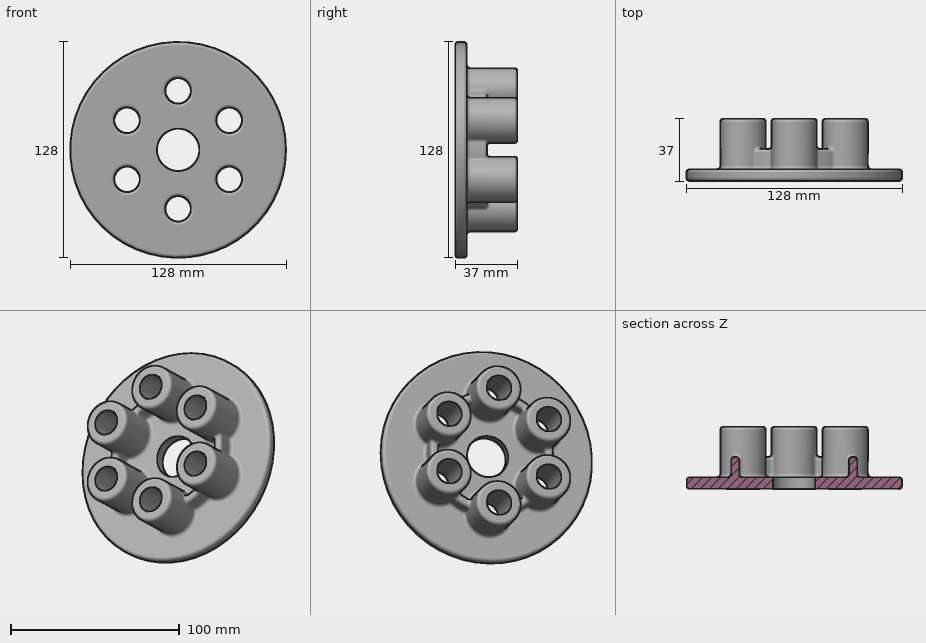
import cadquery as cq

plate_diameter = 128.0
plate_thickness = 7.0
bore_diameter = 25.0

total_depth = 37.0
boss_count = 6
boss_diameter = 27.0
boss_hole_diameter = 15.0
boss_circle_radius = 35.0

wall_height = 12.0
wall_thickness = 5.0

edge_radius = 2.0

tolerance = 0.01

wall_top = plate_thickness + wall_height
boss_angle = 360.0 / boss_count


def cylinder(diameter, start, end):
    """Cylinder on the Y axis between two heights."""
    return cq.Workplane("XZ", origin=(0, start, 0)).circle(diameter / 2).extrude(start - end)


def around_boss_circle(shape):
    """Copies of a shape on the Y axis, moved to every boss position."""
    top = shape.translate((0, 0, boss_circle_radius))
    return [top.rotate((0, 0, 0), (0, 1, 0), index * boss_angle) for index in range(boss_count)]


def make_boss():
    """Solid boss with a rounded free end."""
    boss = cylinder(boss_diameter, plate_thickness, total_depth)
    return boss.faces(">Y").edges().fillet(edge_radius)


def make_boss_hole():
    """Through hole whose mouth on the plate front is rounded."""
    radius = boss_hole_diameter / 2
    profile = (
        cq.Workplane("XY")
        .lineTo(radius + edge_radius, 0)
        .radiusArc((radius, edge_radius), edge_radius)
        .lineTo(radius, total_depth)
        .lineTo(0, total_depth)
        .close()
    )
    return profile.revolve(360, (0, 0, 0), (0, 1, 0))


def make_wall():
    """Circular wall with both edges of its top rounded."""
    outer = cylinder(2 * boss_circle_radius + wall_thickness, plate_thickness, wall_top)
    inner = cylinder(2 * boss_circle_radius - wall_thickness, plate_thickness, wall_top)
    return outer.cut(inner).faces(">Y").edges().fillet(edge_radius)


def is_inside_corner(edge):
    """True for the root edges on the plate and the edges where wall meets boss."""
    center = edge.Center()
    if not plate_thickness - tolerance < center.y < wall_top + tolerance:
        return False
    if edge.geomType() != "CIRCLE":
        return True
    middle = edge.arcCenter()
    on_plate_axis = abs(middle.x) < tolerance and abs(middle.z) < tolerance
    on_plate = center.y < plate_thickness + tolerance
    is_rim = edge.radius() > plate_diameter / 2 - tolerance
    return (on_plate or not on_plate_axis) and not is_rim


body = cylinder(plate_diameter, 0, plate_thickness).union(make_wall())
for boss in around_boss_circle(make_boss()):
    body = body.union(boss)

inside_corners = [edge for edge in body.edges().vals() if is_inside_corner(edge)]
body = body.newObject(inside_corners).fillet(edge_radius)
body = body.edges(cq.selectors.RadiusNthSelector(-1)).fillet(edge_radius)

body = body.cut(cylinder(bore_diameter, 0, plate_thickness))
for hole in around_boss_circle(make_boss_hole()):
    body = body.cut(hole)

result = body